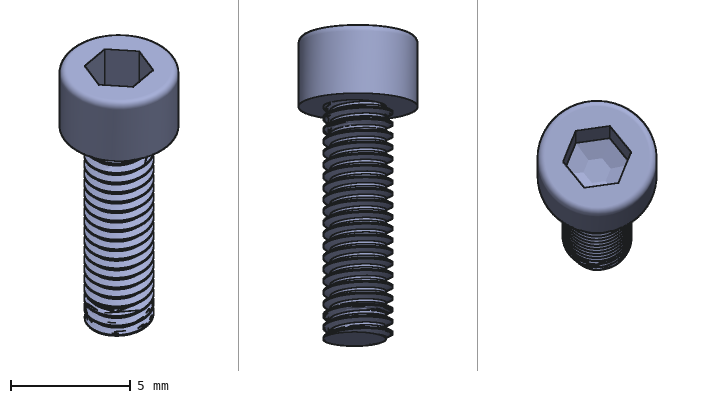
import cadquery as cq
import math

total_length = 13.0
head_diameter = 5.0
head_height = 3.0
head_edge_radius = 0.3
shank_length = total_length - head_height

crest_diameter = 2.92
root_diameter = 2.35
turns_on_shank = 20
pitch = shank_length / turns_on_shank
crest_width = pitch / 8
root_width = pitch / 4
crest_height_at_x_axis = 0.15
groove_overrun_turns = 2

socket_across_flats = 2.5
socket_floor_across_flats = 1.0
socket_wall_depth = 2.0
socket_floor_slope = 18.0


def make_head():
    return (
        cq.Workplane("XY", origin=(0, 0, shank_length))
        .circle(head_diameter / 2)
        .extrude(head_height)
        .faces(">Z")
        .edges()
        .fillet(head_edge_radius)
    )


def make_thread_groove():
    root_radius = root_diameter / 2
    crest_radius = crest_diameter / 2
    depth = crest_radius - root_radius
    half_root = root_width / 2
    half_mouth = (pitch - crest_width) / 2
    clearance = 0.01
    half_outer = half_mouth + clearance * (half_mouth - half_root) / depth
    outer_radius = crest_radius + clearance

    start = crest_height_at_x_axis - (groove_overrun_turns + 0.5) * pitch
    length = shank_length + 2 * groove_overrun_turns * pitch
    helix = cq.Wire.makeHelix(pitch, length, root_radius, cq.Vector(0, 0, start))
    return (
        cq.Workplane("XZ")
        .polyline([
            (root_radius, start - half_root),
            (outer_radius, start - half_outer),
            (outer_radius, start + half_outer),
            (root_radius, start + half_root),
        ])
        .close()
        .sweep(cq.Workplane(obj=helix), isFrenet=True)
    )


def make_shank():
    spare = (groove_overrun_turns + 2) * pitch
    rod = (
        cq.Workplane("XY", origin=(0, 0, -spare))
        .circle(crest_diameter / 2)
        .extrude(shank_length + 2 * spare)
    )
    trim_envelope = cq.Workplane("XY").circle(crest_diameter).extrude(shank_length)
    return rod.cut(make_thread_groove()).intersect(trim_envelope)


def hexagon(across_flats, height):
    """Hexagon at the given height, with two corners on the Y axis."""
    corner_diameter = across_flats / math.cos(math.pi / 6)
    return (
        cq.Workplane("XY", origin=(0, 0, height))
        .transformed(rotate=(0, 0, 90))
        .polygon(6, corner_diameter)
    )


def make_socket():
    wall_bottom = total_length - socket_wall_depth
    walls = hexagon(socket_across_flats, wall_bottom).extrude(socket_wall_depth)
    inset = (socket_across_flats - socket_floor_across_flats) / 2
    floor_drop = inset * math.tan(math.radians(socket_floor_slope))
    floor_taper = 90 - socket_floor_slope
    drill_point = hexagon(socket_across_flats, wall_bottom).extrude(-floor_drop, taper=floor_taper)
    return walls.union(drill_point)


result = make_shank().union(make_head()).cut(make_socket())